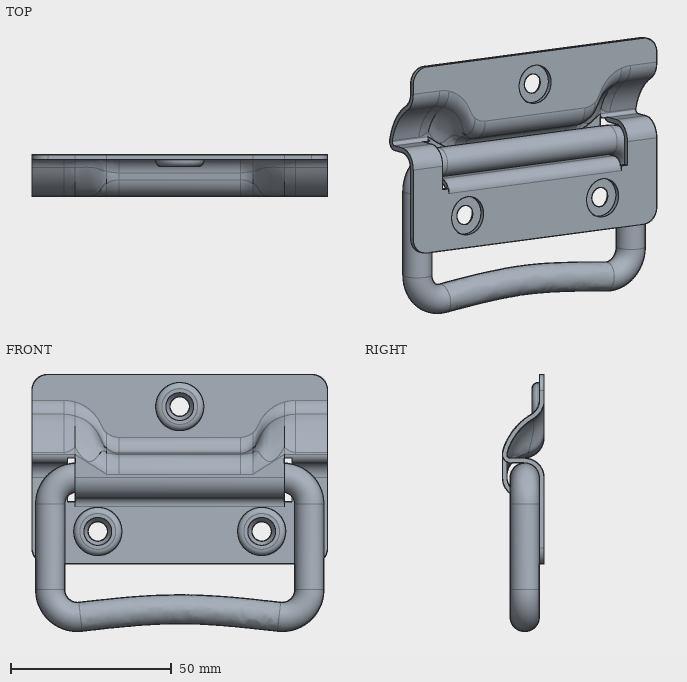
import cadquery as cq
import math


plate_width = 92.0
plate_height = 59.0
sheet = 1.5
total_depth = 13.0
corner_radius = 5.0
rise = total_depth - sheet

bar_diameter = 9.1
bar_radius = bar_diameter / 2
pivot_y = -(sheet + bar_radius)
pivot_z = 26.9
leg_x = 40.3
top_bend = 8.3
bottom_bend = 8.5
bottom_bend_z = -8.0
grip_slope = math.radians(6.5)
grip_crown_z = -14.1

bulge_root_radius = 5.0
bulge_top_end = 50.9
bulge_top_middle = 39.4
s_curve_start = 36.1
s_curve_end = 18.9
s_outer_radius = 12.7
fold_radius = 2.7
lip_z_end = pivot_z + bar_radius + fold_radius
lip_z_middle = 27.9
lip_slant_start = 32.6
lip_slant_end = 22.7

flank_tilts_end = (60.0, 14.0)
flank_tilts_middle = (81.0, 79.0)

strap_half_width = lip_slant_start
slot_outer = 34.9
slot_bottom = 19.4
slot_top = pivot_z + bar_radius + sheet
strap_bend = 6.35
strap_foot_z = 17.9

boss_places = [(0, 48.9), (-25.5, 10.1), (25.5, 10.1)]
boss_diameter = 15.0
boss_radius = boss_diameter / 2
boss_height = 2.3
boss_round = 1.9
boss_hollow_radius = boss_radius - sheet
sink_radius = 4.3
hole_diameter = 6.0
hole_radius = hole_diameter / 2



def straight(length):
    return ("straight", length)


def bend(front_radius, tilt):
    return ("bend", front_radius, tilt)


def sheet_section(x, y, z, moves):
    """Closed wire of the sheet in the plane at x.

    The moves trace the front face, starting straight down from (y, z).
    Tilts are in degrees from straight down, positive toward -Y.
    """
    def along(point, angle, distance):
        return (point[0] - distance * math.sin(angle), point[1] - distance * math.cos(angle))

    def outward(point, angle, distance):
        return (point[0] - distance * math.cos(angle), point[1] + distance * math.sin(angle))

    def line(start, end):
        return cq.Edge.makeLine(cq.Vector(x, *start), cq.Vector(x, *end))

    def arc(*points):
        return cq.Edge.makeThreePointArc(*[cq.Vector(x, *point) for point in points])

    angle = 0
    front = (y, z)
    back = outward(front, angle, -sheet)
    start_cap = line(back, front)
    front_edges = []
    back_edges = []
    for kind, *sizes in moves:
        if kind == "straight":
            next_front = along(front, angle, sizes[0])
            next_back = outward(next_front, angle, -sheet)
            front_edges.append(line(front, next_front))
            back_edges.append(line(next_back, back))
        else:
            radius, tilt = sizes
            next_angle = math.radians(tilt)
            middle = (angle + next_angle) / 2
            reach = radius if next_angle > angle else -radius
            centre = outward(front, angle, reach)
            next_front = outward(centre, next_angle, -reach)
            next_back = outward(centre, next_angle, -reach - sheet)
            front_edges.append(arc(front, outward(centre, middle, -reach), next_front))
            back_edges.append(arc(next_back, outward(centre, middle, -reach - sheet), back))
            angle = next_angle
        front = next_front
        back = next_back
    end_cap = line(front, back)
    return cq.Wire.assembleEdges([*front_edges, end_cap, *reversed(back_edges), start_cap])


def prism(wire, length):
    return cq.Workplane(cq.Solid.extrudeLinear(wire, [], cq.Vector(length, 0, 0)))



def bulge_top(x):
    """Height of the bulge's top edge at x."""
    run = s_curve_start - s_curve_end
    drop = bulge_top_end - bulge_top_middle
    turn = 2 * math.atan(drop / run)
    inner_radius = run / math.sin(turn) - s_outer_radius
    from_start = s_curve_start - x
    from_end = x - s_curve_end
    if from_start < s_outer_radius * math.sin(turn):
        return bulge_top_end - s_outer_radius + math.sqrt(s_outer_radius**2 - from_start**2)
    return bulge_top_middle + inner_radius - math.sqrt(inner_radius**2 - from_end**2)


def lip_height(x):
    """Height at x where the bulge's lip turns vertical."""
    part = (lip_slant_start - x) / (lip_slant_start - lip_slant_end)
    part = min(max(part, 0), 1)
    return lip_z_end + (lip_z_middle - lip_z_end) * part


def bulge_section(x, bottom):
    """Section from the plate's top edge over the bulge and down to the given height."""
    top = bulge_top(x)
    lip_z = lip_height(x)
    height = top - lip_z
    tallest = bulge_top_end - lip_z_end
    shortest = bulge_top_middle - lip_z_middle
    part = (tallest - height) / (tallest - shortest)
    root_tilt, lip_tilt = [a + (b - a) * part for a, b in zip(flank_tilts_end, flank_tilts_middle)]
    root = math.radians(root_tilt)
    lip = math.radians(lip_tilt)

    depth_left = rise - bulge_root_radius * (1 - math.cos(root))
    height_left = height - bulge_root_radius * math.sin(root)
    flank_depth = math.cos(lip) - math.cos(root)
    flank_height = math.sin(root) - math.sin(lip)
    lip_depth = 1 - math.cos(lip)
    lip_drop = math.sin(lip)
    share = flank_depth * lip_drop - flank_height * lip_depth
    flank_radius = (depth_left * lip_drop - height_left * lip_depth) / share
    lip_radius = (height_left * flank_depth - depth_left * flank_height) / share

    moves = [
        straight(plate_height - top),
        bend(bulge_root_radius, root_tilt),
        bend(flank_radius, lip_tilt),
        bend(lip_radius, 0),
    ]
    if bottom < lip_z:
        moves.append(straight(lip_z - bottom))
    return sheet_section(x, -sheet, plate_height, moves)


def bulge_blend():
    """The +X stretch where the bulge swings down from the end to the middle."""
    stretches = [
        (s_curve_start, lip_slant_start, lip_z_end, 4),
        (lip_slant_start, lip_slant_end, pivot_z, 6),
        (lip_slant_end, s_curve_end, pivot_z, 4),
    ]
    blend = cq.Workplane()
    for start, end, bottom, steps in stretches:
        places = [start + (end - start) * i / steps for i in range(steps + 1)]
        blend = blend.add(cq.Solid.makeLoft([bulge_section(x, bottom) for x in places]))
    return blend.combine()


def bulge_half():
    """The +X half of the plate's upper part, with the bulge and the upper half of the strap."""
    middle = prism(bulge_section(s_curve_end, pivot_z), -s_curve_end)
    end = prism(bulge_section(s_curve_start, lip_z_end), plate_width / 2 - s_curve_start)
    return bulge_blend().union(middle).union(end)



def end_fold():
    """The +X end, where the sheet folds back over the handle and runs down behind it, cut by the slot."""
    web = total_depth - fold_radius + pivot_y
    moves = [
        bend(fold_radius, -90),
        straight(web),
        bend(bar_radius, 0),
        straight(pivot_z),
    ]
    wire = sheet_section(strap_half_width, -total_depth, lip_z_end, moves)
    slot = cq.Workplane().box(
        slot_outer - strap_half_width, total_depth, slot_top - slot_bottom, centered=False
    )
    slot = slot.translate((strap_half_width, -total_depth, slot_bottom))
    return prism(wire, plate_width / 2 - strap_half_width).cut(slot)


def strap_hook():
    """The +X lower half of the strap, which hooks under the handle and joins the plate."""
    foot_bend = pivot_z - strap_bend - strap_foot_z
    moves = [
        bend(strap_bend, -90),
        straight(rise - strap_bend - foot_bend),
        bend(foot_bend, 0),
        straight(strap_foot_z),
    ]
    return prism(sheet_section(0, -total_depth, pivot_z, moves), strap_half_width)



def boss_blanks():
    base = cq.Workplane("XZ", origin=(0, -sheet, 0)).pushPoints(boss_places)
    return base.circle(boss_radius).extrude(boss_height).faces("<Y").edges().fillet(boss_round)


def boss_hollows():
    return cq.Workplane("XZ").pushPoints(boss_places).circle(boss_hollow_radius).extrude(sheet)


def boss_hole(place):
    """Countersunk hole through the raised part of one boss."""
    x, z = place
    base = cq.Vector(x, -sheet, z)
    return cq.Workplane(cq.Solid.makeCone(hole_radius, sink_radius, boss_height, base, cq.Vector(0, -1, 0)))



def make_bracket():
    half = bulge_half().union(end_fold()).union(strap_hook())
    outline = (
        cq.Workplane("XZ", origin=(0, 0, plate_height / 2))
        .rect(plate_width, plate_height)
        .extrude(total_depth)
        .edges("|Y")
        .fillet(corner_radius)
    )
    body = half.union(half.mirror("YZ")).intersect(outline).union(boss_blanks()).cut(boss_hollows())
    for place in boss_places:
        body = body.cut(boss_hole(place))
    return body


def make_handle():
    """Round bar bent to a closed loop, with a slightly arched grip."""
    def on_arc(centre, radius, angle):
        return (centre[0] + radius * math.cos(angle), centre[1] + radius * math.sin(angle))

    def mirrored(point):
        return (-point[0], point[1])

    top_centre = (leg_x - top_bend, pivot_z - top_bend)
    top_middle = on_arc(top_centre, top_bend, math.pi / 4)
    bottom_centre = (leg_x - bottom_bend, bottom_bend_z)
    bottom_turn = math.pi / 2 + grip_slope
    bottom_middle = on_arc(bottom_centre, bottom_bend, -bottom_turn / 2)
    grip_end = on_arc(bottom_centre, bottom_bend, -bottom_turn)
    slope = (-math.cos(grip_slope), math.sin(grip_slope))

    path = (
        cq.Workplane("XZ", origin=(0, pivot_y, 0))
        .moveTo(0, pivot_z)
        .lineTo(top_centre[0], pivot_z)
        .threePointArc(top_middle, (leg_x, top_centre[1]))
        .lineTo(leg_x, bottom_bend_z)
        .threePointArc(bottom_middle, grip_end)
        .spline(
            [(0, grip_crown_z), mirrored(grip_end)],
            tangents=[slope, (slope[0], -slope[1])],
            includeCurrent=True,
        )
        .threePointArc(mirrored(bottom_middle), (-leg_x, bottom_bend_z))
        .lineTo(-leg_x, top_centre[1])
        .threePointArc(mirrored(top_middle), (-top_centre[0], pivot_z))
        .close()
    )
    return cq.Workplane("YZ").center(pivot_y, pivot_z).circle(bar_radius).sweep(path)


bracket = make_bracket()
handle = make_handle()
result = cq.Compound.makeCompound([bracket.solids().val(), handle.val()])